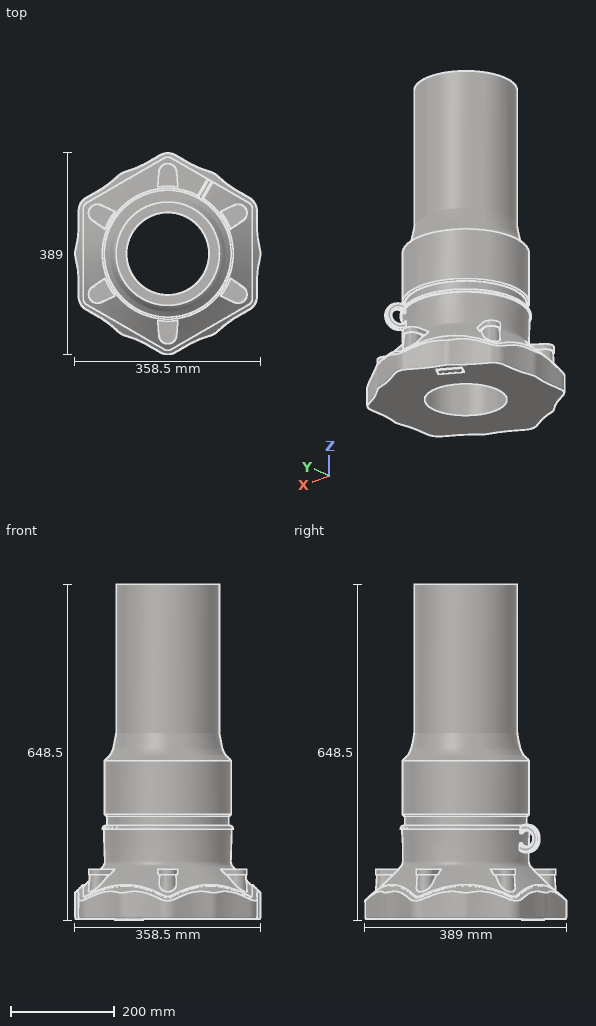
import cadquery as cq
import math

TOTAL_HEIGHT = 648.5
BORE_RADIUS = 159.0 / 2
PIPE_RADIUS = 200.0 / 2
SLEEVE_RADIUS = 245.0 / 2
NECK_RADIUS = 236.0 / 2

PIPE_END = 361.0
TAPER_END = 331.5
SHOULDER_TOP = 319.0
SLEEVE_TOP = 308.0
SLEEVE_BOTTOM = 204.0
SLEEVE_CHAMFER = 3.0
NECK_BOTTOM = 183.0
LIP_BOTTOM = 176.0
COLLAR_BOTTOM = 113.0
FLARE_BOTTOM = 102.0

TAPER_RADIUS = 106.0
TAPER_BLEND_RADIUS = 108.0
LIP_RADIUS = 126.5
LIP_ROUND_START_RADIUS = 120.5
LIP_ROUND_RADIUS = 124.5
LIP_ROUND_LEVEL = 181.0
COLLAR_TOP_RADIUS = 124.0
COLLAR_BOTTOM_RADIUS = 122.0
FLARE_MID_RADIUS = 123.0

RIM_CONE = 232.0
RECESS_CONE = 229.0

SIDES = 6
SIDE_ANGLE = 360 / SIDES
BASE_BOTTOM = 2.0
BASE_FLAT = 172.5
BASE_CORNER_REACH = 194.5
BULGE_REACH = 358.5 / 2
BULGE_EDGE_REACH = 178.5
BULGE_HALF_WIDTH = 8.0
HOLLOW_END = 68.0
HOLLOW_MID = 37.5
HOLLOW_MID_REACH = 173.0
BOTTOM_CHAMFER_HEIGHT = 4.5
BOTTOM_CHAMFER_WIDTH = 1.0
RECESS_FLAT = 163.5
RECESS_CORNER_RADIUS = 14.0

BOSS_CENTRE = 156.0
BOSS_TOP = 98.5
BOSS_HEAD_HEIGHT = 11.0
BOSS_HEAD_RADIUS = 17.5
BOSS_HEAD_ROOT_HALF_WIDTH = 21.0
BOSS_POST_RADIUS = 15.5
BOSS_POST_DEPTH = 39.0
BOSS_POST_DRAFT = 4.0
BOSS_ROOT = 110.0

EYE_ANGLE = 60
EYE_CENTRE = 136.0
EYE_LEVEL = 157.5
EYE_OUTER_RADIUS = 27.0
EYE_HOLE_RADIUS = 15.5
EYE_THICKNESS = 11.5
EYE_CHAMFER = 2.5

PAD_ANGLE = 120
PAD_CENTRE = 150.0
PAD_LENGTH = 50.5
PAD_WIDTH = 21.0


def polar(radius, angle):
    """Point at a radius and an angle in degrees."""
    turn = math.radians(angle)
    return radius * math.cos(turn), radius * math.sin(turn)


def side_point(angle, reach, offset):
    """Point at a distance outward and a distance along the base side facing an angle."""
    turn = math.radians(angle)
    return (
        reach * math.cos(turn) - offset * math.sin(turn),
        reach * math.sin(turn) + offset * math.cos(turn),
    )


def sharp_corner_reach(flat):
    """Distance from the axis to a sharp hexagon corner, given the distance to its sides."""
    return flat / math.cos(math.radians(SIDE_ANGLE / 2))


def turned_body():
    """Pipe, sleeve, neck and collar with its flare, before boring."""
    shoulder_radius = SLEEVE_RADIUS - (SHOULDER_TOP - SLEEVE_TOP)
    taper_blend = (TAPER_BLEND_RADIUS, (TAPER_END + SHOULDER_TOP) / 2)
    chamfer_bottom = SLEEVE_BOTTOM - SLEEVE_CHAMFER
    lip_shoulder = (LIP_ROUND_RADIUS, LIP_ROUND_LEVEL)
    flare_radius = RECESS_CONE - FLARE_BOTTOM
    flare_mid = (FLARE_MID_RADIUS, (COLLAR_BOTTOM + FLARE_BOTTOM) / 2)
    profile = (
        cq.Workplane("XZ")
        .moveTo(0, TOTAL_HEIGHT)
        .lineTo(PIPE_RADIUS, TOTAL_HEIGHT)
        .lineTo(PIPE_RADIUS, PIPE_END)
        .lineTo(TAPER_RADIUS, TAPER_END)
        .threePointArc(taper_blend, (shoulder_radius, SHOULDER_TOP))
        .lineTo(SLEEVE_RADIUS, SLEEVE_TOP)
        .lineTo(SLEEVE_RADIUS, SLEEVE_BOTTOM)
        .lineTo(SLEEVE_RADIUS - SLEEVE_CHAMFER, chamfer_bottom)
        .lineTo(NECK_RADIUS, chamfer_bottom)
        .lineTo(NECK_RADIUS, NECK_BOTTOM)
        .lineTo(LIP_ROUND_START_RADIUS, NECK_BOTTOM)
        .threePointArc(lip_shoulder, (LIP_RADIUS, LIP_BOTTOM))
        .lineTo(COLLAR_TOP_RADIUS, LIP_BOTTOM)
        .lineTo(COLLAR_BOTTOM_RADIUS, COLLAR_BOTTOM)
        .threePointArc(flare_mid, (flare_radius, FLARE_BOTTOM))
        .lineTo(0, FLARE_BOTTOM)
        .close()
    )
    return profile.revolve(360, (0, 0), (0, 1))


def base_outline():
    """Hexagon with rounded corners, its sides waved by two hollows and a bulge."""
    sharp_reach = sharp_corner_reach(BASE_FLAT)
    spread = sharp_corner_reach(1) - 1
    corner_radius = (sharp_reach - BASE_CORNER_REACH) / spread
    corner_start = (BASE_FLAT - corner_radius) * math.tan(math.radians(SIDE_ANGLE / 2))

    outline = cq.Workplane("XY", origin=(0, 0, BASE_BOTTOM)).moveTo(*side_point(0, BASE_FLAT, -corner_start))
    for side in range(SIDES):
        angle = side * SIDE_ANGLE
        bulge_start = side_point(angle, BULGE_EDGE_REACH, -BULGE_HALF_WIDTH)
        bulge_end = side_point(angle, BULGE_EDGE_REACH, BULGE_HALF_WIDTH)
        hollow_end = side_point(angle, BASE_FLAT, HOLLOW_END)
        corner_tip = polar(BASE_CORNER_REACH, angle + SIDE_ANGLE / 2)
        outline = (
            outline.lineTo(*side_point(angle, BASE_FLAT, -HOLLOW_END))
            .threePointArc(side_point(angle, HOLLOW_MID_REACH, -HOLLOW_MID), bulge_start)
            .threePointArc(polar(BULGE_REACH, angle), bulge_end)
            .threePointArc(side_point(angle, HOLLOW_MID_REACH, HOLLOW_MID), hollow_end)
            .lineTo(*side_point(angle, BASE_FLAT, corner_start))
            .threePointArc(corner_tip, side_point(angle + SIDE_ANGLE, BASE_FLAT, -corner_start))
        )
    return outline.close()


def cone_solid(cone):
    """Solid below a 45 degree cone, truncated at the flare."""
    foot = sharp_corner_reach(BASE_FLAT)
    return (
        cq.Workplane("XZ")
        .moveTo(0, BASE_BOTTOM)
        .lineTo(foot, BASE_BOTTOM)
        .lineTo(foot, cone - foot)
        .lineTo(cone - FLARE_BOTTOM, FLARE_BOTTOM)
        .lineTo(0, FLARE_BOTTOM)
        .close()
        .revolve(360, (0, 0), (0, 1))
    )


def base():
    """Waved base under the rim cone, sunk to the recess cone inside a hexagon."""
    prism = base_outline().extrude(FLARE_BOTTOM - BASE_BOTTOM)
    prism = prism.faces("<Z").chamfer(BOTTOM_CHAMFER_HEIGHT, BOTTOM_CHAMFER_WIDTH)
    recess_diameter = 2 * sharp_corner_reach(RECESS_FLAT)
    recess = (
        cq.Workplane("XY", origin=(0, 0, BASE_BOTTOM))
        .polygon(SIDES, recess_diameter)
        .extrude(FLARE_BOTTOM)
        .rotate((0, 0, 0), (0, 0, 1), SIDE_ANGLE / 2)
        .edges("|Z")
        .fillet(RECESS_CORNER_RADIUS)
        .cut(cone_solid(RECESS_CONE))
    )
    return prism.intersect(cone_solid(RIM_CONE)).cut(recess)


def boss_outline(level, radius, root_half_width):
    """Round-ended outline reaching outward along +X from the boss root."""
    return (
        cq.Workplane("XY", origin=(0, 0, level))
        .moveTo(BOSS_ROOT, -root_half_width)
        .lineTo(BOSS_CENTRE, -radius)
        .threePointArc((BOSS_CENTRE + radius, 0), (BOSS_CENTRE, radius))
        .lineTo(BOSS_ROOT, root_half_width)
        .close()
    )


def boss():
    """Round-ended post that widens downward, under a broader head, rooted in the cone on +X."""
    head_bottom = BOSS_TOP - BOSS_HEAD_HEIGHT
    head = boss_outline(head_bottom, BOSS_HEAD_RADIUS, BOSS_HEAD_ROOT_HALF_WIDTH).extrude(BOSS_HEAD_HEIGHT)
    post = boss_outline(head_bottom, BOSS_POST_RADIUS, BOSS_POST_RADIUS).extrude(
        -BOSS_POST_DEPTH, taper=-BOSS_POST_DRAFT
    )
    return head.union(post)


def lifting_eye():
    """Upright chamfered ring, half sunk in the collar."""
    ring = (
        cq.Workplane("XZ", origin=(EYE_CENTRE, EYE_THICKNESS / 2, EYE_LEVEL))
        .circle(EYE_OUTER_RADIUS)
        .circle(EYE_HOLE_RADIUS)
        .extrude(EYE_THICKNESS)
        .edges("%CIRCLE")
        .chamfer(EYE_CHAMFER)
    )
    return ring.rotate((0, 0, 0), (0, 0, 1), EYE_ANGLE)


def pad():
    """Flat pad on the underside."""
    block = cq.Workplane("XY").box(PAD_WIDTH, PAD_LENGTH, 2 * BASE_BOTTOM, centered=(True, True, False))
    return block.translate((PAD_CENTRE, 0, 0)).rotate((0, 0, 0), (0, 0, 1), PAD_ANGLE)


result = base().union(turned_body())
for index in range(SIDES):
    boss_angle = (index + 0.5) * SIDE_ANGLE
    result = result.union(boss().rotate((0, 0, 0), (0, 0, 1), boss_angle))
result = result.union(lifting_eye()).union(pad())

bore = cq.Workplane("XY").circle(BORE_RADIUS).extrude(TOTAL_HEIGHT)
result = result.cut(bore)